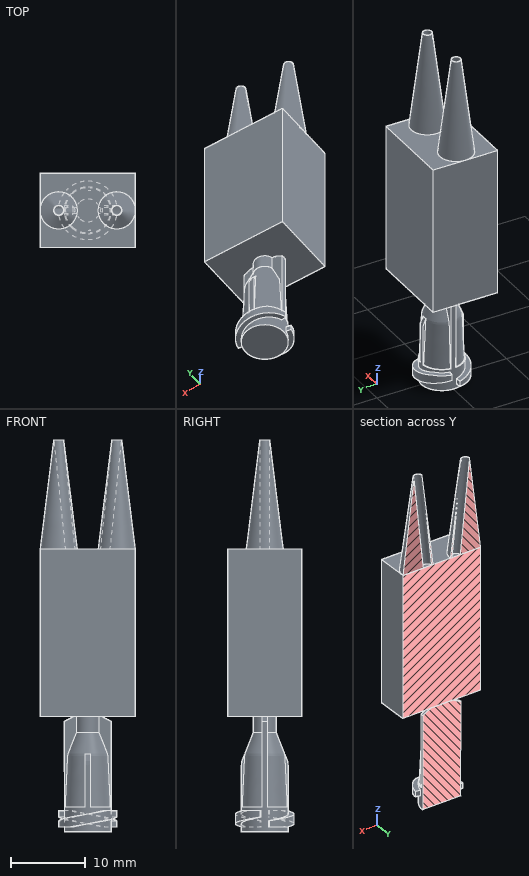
import cadquery as cq

BLOCK_X = 12.75
BLOCK_Y = 10.0
BLOCK_BOTTOM = 15.45
BLOCK_TOP = 37.95

TIP_TOP = 52.55
TIP_BASE_RADIUS = 2.495
TIP_END_RADIUS = 0.7
TIP_BORE_DIAMETER = 1.25
TIP_OFFSET = BLOCK_X / 2 - TIP_BASE_RADIUS

COLLAR_RADIUS = 3.15
COLLAR_TOP = 3.3
NECK_RADIUS = 3.1 / 2
NECK_BOTTOM = 13.35
BARREL_BASE_RADIUS = 3.05
BARREL_TOP_RADIUS = 2.75
BARREL_TOP = 10.15
CONE_BASE_RADIUS = 2.7
CONE_BASE = 10.45

FIN_THICKNESS = 0.8
TALL_FIN_SHOULDER = 14.8
TALL_FIN_TOP_HALF_WIDTH = 1.95
SHORT_FIN_SHOULDER = 9.45
SHORT_FIN_SHOULDER_RADIUS = 3.1
SHORT_FIN_TAPER_END = 8.9

THREAD_RADIUS = 3.95
THREAD_ROOT = 2.75
THREAD_BLANK_RADIUS = 4.2
THREAD_WIDTH = 1.3
THREAD_PITCH = 4.05
THREAD_STARTS = 2
THREAD_SPAN = 162.0
THREAD_BOTTOM = 0.65
THREAD_TOP = 2.85


def make_block():
    height = BLOCK_TOP - BLOCK_BOTTOM
    return cq.Workplane("XY", origin=(0, 0, BLOCK_BOTTOM)).box(
        BLOCK_X, BLOCK_Y, height, centered=(True, True, False)
    )


def make_tip(x):
    """Cone standing on the block, with a bore that leans towards the top of the hub."""
    cone = cq.Solid.makeCone(
        TIP_BASE_RADIUS, TIP_END_RADIUS, TIP_TOP - BLOCK_TOP, pnt=cq.Vector(x, 0, BLOCK_TOP)
    )
    outlet = cq.Vector(x, 0, TIP_TOP)
    lean = cq.Vector(0, 0, BLOCK_BOTTOM) - outlet
    bore_start = outlet - lean.normalized() * TIP_BORE_DIAMETER
    bore = cq.Solid.makeCylinder(TIP_BORE_DIAMETER / 2, lean.Length, bore_start, lean)
    return cq.Workplane(cone).cut(cq.Workplane(bore))


def make_hub_core():
    profile = [
        (0, 0),
        (COLLAR_RADIUS, 0),
        (COLLAR_RADIUS, COLLAR_TOP),
        (BARREL_BASE_RADIUS, COLLAR_TOP),
        (BARREL_TOP_RADIUS, BARREL_TOP),
        (CONE_BASE_RADIUS, CONE_BASE),
        (NECK_RADIUS, NECK_BOTTOM),
        (NECK_RADIUS, BLOCK_BOTTOM),
        (0, BLOCK_BOTTOM),
    ]
    return cq.Workplane("XZ").polyline(profile).close().revolve(360, (0, 0), (0, 1))


def make_fin_pair(half_profile, plane):
    """Plate through the hub axis, mirrored from its half outline and rounded to the collar."""
    plate = (
        cq.Workplane(plane)
        .polyline(half_profile)
        .mirrorY()
        .extrude(FIN_THICKNESS / 2, both=True)
    )
    return plate.intersect(cq.Workplane("XY").circle(COLLAR_RADIUS).extrude(BLOCK_BOTTOM))


def make_tall_fins():
    half_profile = [
        (0, COLLAR_TOP),
        (COLLAR_RADIUS, COLLAR_TOP),
        (COLLAR_RADIUS, TALL_FIN_SHOULDER),
        (TALL_FIN_TOP_HALF_WIDTH, BLOCK_BOTTOM),
        (0, BLOCK_BOTTOM),
    ]
    return make_fin_pair(half_profile, "XZ")


def make_short_fins():
    half_profile = [
        (0, COLLAR_TOP),
        (COLLAR_RADIUS, COLLAR_TOP),
        (COLLAR_RADIUS, SHORT_FIN_TAPER_END),
        (SHORT_FIN_SHOULDER_RADIUS, SHORT_FIN_SHOULDER),
        (CONE_BASE_RADIUS, CONE_BASE),
        (0, CONE_BASE),
    ]
    return make_fin_pair(half_profile, "YZ")


def make_thread():
    """Helical ribs, trimmed flat at the top and bottom and round on the outside."""
    rise = THREAD_PITCH * THREAD_SPAN / 360
    mid_radius = (THREAD_ROOT + THREAD_BLANK_RADIUS) / 2
    start_z = (THREAD_BOTTOM + THREAD_TOP - rise) / 2
    path = cq.Workplane(cq.Wire.makeHelix(THREAD_PITCH, rise, mid_radius))
    rib = (
        cq.Workplane("XZ", origin=(mid_radius, 0, 0))
        .rect(THREAD_BLANK_RADIUS - THREAD_ROOT, THREAD_WIDTH)
        .sweep(path, isFrenet=True)
        .translate((0, 0, start_z))
    )
    envelope = (
        cq.Workplane("XY", origin=(0, 0, THREAD_BOTTOM))
        .circle(THREAD_RADIUS)
        .extrude(THREAD_TOP - THREAD_BOTTOM)
    )
    rib = rib.intersect(envelope)
    first_angle = -90 - THREAD_SPAN / 2
    return [
        rib.rotate((0, 0, 0), (0, 0, 1), first_angle + i * 360 / THREAD_STARTS)
        for i in range(THREAD_STARTS)
    ]


def make_hub():
    hub = make_hub_core().union(make_tall_fins()).union(make_short_fins())
    for rib in make_thread():
        hub = hub.union(rib)
    return hub


block = make_block()
tips = [make_tip(x) for x in (-TIP_OFFSET, TIP_OFFSET)]
hub = make_hub()

bodies = [block, *tips, hub]
result = cq.Compound.makeCompound([body.solids().val() for body in bodies])